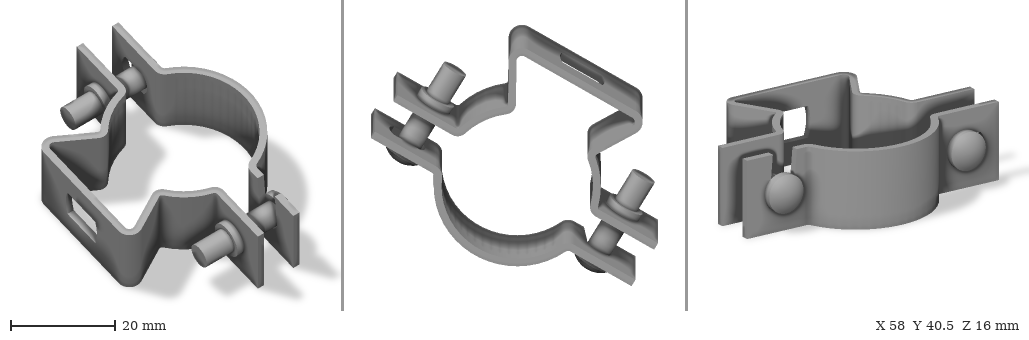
import cadquery as cq
import math


length = 58.0
width = 16.0
thickness = 1.5
pipe_radius = 14.5
wall_radius = pipe_radius + thickness

saddle_ear_top = 6.05
saddle_bend = 0.85

base_ear_top = -2.45
base_ear_bottom = base_ear_top - thickness
base_bend = 0.6
neck_bend = 0.6
foot_bend = 1.05
foot_half_width = 14.5
foot_bottom = -24.5
leg_angle = 60.0

window_length = 10.0
window_height = 6.5
window_end_radius = 10.0

screw_x = 21.0
shank_diameter = 5.0
shank_length = 18.05
head_diameter = 7.9
head_rim_height = 1.55
head_height = 3.3
collar_diameter = 7.25
collar_height = 1.55
collar_fillet = 0.1
slot_width = 5.5
long_slot_length = 8.0
long_slot_x = -21.8
long_slot_end_radius = 4.05
hook_tilt = 5.0

join_tolerance = 5.8e-07


def polar(center, radius, angle):
    """Point at a radius and an angle in degrees from a centre."""
    a = math.radians(angle)
    return (center[0] + radius * math.cos(a), center[1] + radius * math.sin(a))


def mirrored(bend):
    """The same bend on the +X side, run through in the opposite direction."""
    (x, y), upper, lower, start, end = bend
    return ((-x, y), upper, lower, 180 - end, 180 - start)


def follow_arcs(outline, position, arcs):
    """Continue an outline along arcs (centre, radius, start, end), with straight lines between them."""
    for center, radius, start, end in arcs:
        first = polar(center, radius, start)
        last = polar(center, radius, end)
        if math.dist(position, first) > join_tolerance:
            outline = outline.lineTo(*first)
        outline = outline.threePointArc(polar(center, radius, (start + end) / 2), last)
        position = last
    return outline


def bent_strip(ear_top, bends):
    """Strip between two ears; a bend is (centre, upper radius, lower radius, start angle, end angle)."""
    ear_bottom = ear_top - thickness
    left_end = -length / 2
    right_end = length / 2
    upper_arcs = [(center, upper, start, end) for center, upper, _, start, end in bends]
    lower_arcs = [(center, lower, end, start) for center, _, lower, start, end in reversed(bends)]

    outline = cq.Workplane("XY").moveTo(left_end, ear_top)
    outline = follow_arcs(outline, (left_end, ear_top), upper_arcs)
    outline = outline.lineTo(right_end, ear_top).lineTo(right_end, ear_bottom)
    outline = follow_arcs(outline, (right_end, ear_bottom), lower_arcs)
    outline = outline.lineTo(left_end, ear_bottom).close()
    return outline.extrude(width / 2, both=True)


def plane_facing_back(x, y):
    """Sketch plane parallel to XZ with local x along +X, local y along +Z and normal along -Y."""
    return cq.Workplane("XZ", origin=(x, y, 0))


def bowed_cutter(x, top, size_x, size_z, end_radius):
    """Through cutter with straight long sides and bowed ends, one strip thickness deep."""
    half_z = size_z / 2
    half_x = size_x / 2
    bow = end_radius - math.sqrt(end_radius**2 - half_z**2)
    corner_x = half_x - bow
    return (
        plane_facing_back(x, top)
        .moveTo(-corner_x, -half_z)
        .lineTo(corner_x, -half_z)
        .threePointArc((half_x, 0), (corner_x, half_z))
        .lineTo(-corner_x, half_z)
        .threePointArc((-half_x, 0), (-corner_x, -half_z))
        .close()
        .extrude(thickness)
    )


def hook_cutter():
    """Round-bottomed slot, open at the +Z edge and leaning towards the pipe."""
    half = slot_width / 2
    reach = width
    return (
        plane_facing_back(screw_x, saddle_ear_top)
        .moveTo(-half, reach)
        .lineTo(-half, 0)
        .threePointArc((0, -half), (half, 0))
        .lineTo(half, reach)
        .close()
        .extrude(thickness)
        .rotate((screw_x, 0, 0), (screw_x, 1, 0), -hook_tilt)
    )


def make_saddle():
    """Upper strip: an arched wall between two ears, one with a long slot and one with a hook slot."""
    bend_y = saddle_ear_top + saddle_bend
    bend_x = math.sqrt((wall_radius + saddle_bend) ** 2 - bend_y**2)
    wall_angle = math.degrees(math.atan2(bend_y, bend_x))
    ear_bend = ((-bend_x, bend_y), saddle_bend, saddle_bend + thickness, -90, -wall_angle)
    wall = ((0, 0), wall_radius, pipe_radius, 180 - wall_angle, wall_angle)
    strip = bent_strip(saddle_ear_top, [ear_bend, wall, mirrored(ear_bend)])
    long_slot = bowed_cutter(
        long_slot_x, saddle_ear_top, long_slot_length, slot_width, long_slot_end_radius
    )
    return strip.cut(long_slot).cut(hook_cutter())


def base_bends():
    """Bends of the lower strip from the -X ear to the +X ear."""
    bend_y = base_ear_bottom - base_bend
    bend_x = math.sqrt((wall_radius + base_bend) ** 2 - bend_y**2)
    wall_start = math.degrees(math.atan2(-bend_y, bend_x))
    ear_bend = ((-bend_x, bend_y), base_bend + thickness, base_bend, 90, wall_start)

    foot_outer = foot_bend + thickness
    foot_center = (foot_outer - foot_half_width, foot_bottom + foot_outer)
    leg_normal = 90 + leg_angle
    foot = (foot_center, foot_bend, foot_outer, leg_normal, 270)

    normal = polar((0, 0), 1, leg_normal)
    offset = foot_center[0] * normal[0] + foot_center[1] * normal[1] + foot_outer + neck_bend
    along = math.sqrt((wall_radius + neck_bend) ** 2 - offset**2)
    neck_center = polar(polar((0, 0), offset, leg_normal), -along, leg_angle)
    wall_end = math.degrees(math.atan2(-neck_center[1], -neck_center[0]))
    neck = (neck_center, neck_bend + thickness, neck_bend, wall_end, leg_normal - 180)

    wall = ((0, 0), pipe_radius, wall_radius, 180 + wall_start, 180 + wall_end)
    left = [ear_bend, wall, neck, foot]
    return left + [mirrored(bend) for bend in reversed(left)]


def make_collar(x):
    """Collar under a base ear with a small fillet at its root, revolved about the screw axis."""
    radius = collar_diameter / 2
    fillet_middle = polar((radius + collar_fillet, -collar_fillet), collar_fillet, 135)
    return (
        cq.Workplane("XY", origin=(x, base_ear_bottom, 0))
        .lineTo(radius + collar_fillet, 0)
        .threePointArc(fillet_middle, (radius, -collar_fillet))
        .lineTo(radius, -collar_height)
        .lineTo(0, -collar_height)
        .close()
        .revolve(360, (0, 0, 0), (0, 1, 0))
    )


def make_base():
    """Lower strip with a window in its foot and a collared screw hole in each ear."""
    base = bent_strip(base_ear_top, base_bends())
    window_top = foot_bottom + thickness
    base = base.cut(bowed_cutter(0, window_top, window_length, window_height, window_end_radius))
    for x in (-screw_x, screw_x):
        hole = plane_facing_back(x, base_ear_top).circle(shank_diameter / 2)
        base = base.union(make_collar(x)).cut(hole.extrude(thickness + collar_height))
    return base


def make_screw(x):
    """Domed-head screw whose head rests on the saddle ear, revolved about its own Y axis."""
    head_radius = head_diameter / 2
    shank_radius = shank_diameter / 2
    dome_height = head_height - head_rim_height
    dome_radius = (head_radius**2 + dome_height**2) / (2 * dome_height)
    half_angle = math.degrees(math.asin(head_radius / dome_radius))
    dome_middle = polar((0, head_height - dome_radius), dome_radius, 90 - half_angle / 2)
    return (
        cq.Workplane("XY", origin=(x, saddle_ear_top, 0))
        .moveTo(0, -shank_length)
        .lineTo(shank_radius, -shank_length)
        .lineTo(shank_radius, 0)
        .lineTo(head_radius, 0)
        .lineTo(head_radius, head_rim_height)
        .threePointArc(dome_middle, (0, head_height))
        .close()
        .revolve(360, (0, 0, 0), (0, 1, 0))
    )


saddle = make_saddle().solids()
base = make_base().solids()
screws = [make_screw(x) for x in (-screw_x, screw_x)]

result = cq.Compound.makeCompound([saddle.val(), base.val(), *[screw.val() for screw in screws]])